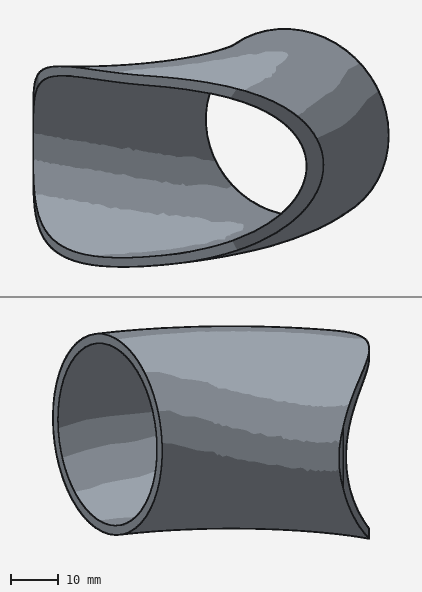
import cadquery as cq

overall_length = 69.2
pipe_diameter = 42.4
wall = 2.0
arc_start_y = -27.8
blend_x = 29.9

pipe_radius = pipe_diameter / 2
bore_radius = pipe_radius - wall
bend_radius = overall_length - pipe_radius
margin = pipe_radius


def quarter_bend(section_radius):
    """Solid 90 degree bend about the Z axis, from the +X axis round to the -Y axis."""
    section = cq.Workplane("XZ").center(bend_radius, 0).circle(section_radius)
    return section.revolve(90, (-bend_radius, 0), (-bend_radius, -1))


def saddle_y(x):
    """Parabola where the bend meets an equal straight pipe along X, tangent to the bend."""
    return x**2 / (4 * bend_radius) - bend_radius


def trim_tool():
    """Prism along Z that removes everything beyond the trimmed edge."""
    far_x = overall_length + margin
    far_y = -overall_length - margin
    blend_point = (blend_x, saddle_y(blend_x))
    control_point = (
        (blend_x + far_x) / 2,
        blend_x * far_x / (4 * bend_radius) - bend_radius,
    )
    outline = (
        cq.Workplane("XY", origin=(0, 0, -pipe_diameter))
        .moveTo(far_x, saddle_y(far_x))
        .bezier([control_point, blend_point], includeCurrent=True)
        .tangentArcPoint((0, arc_start_y), relative=False)
        .lineTo(-margin, arc_start_y)
        .lineTo(-margin, far_y)
        .lineTo(far_x, far_y)
        .close()
    )
    return outline.extrude(2 * pipe_diameter)


elbow = quarter_bend(pipe_radius).cut(quarter_bend(bore_radius))
result = elbow.cut(trim_tool())